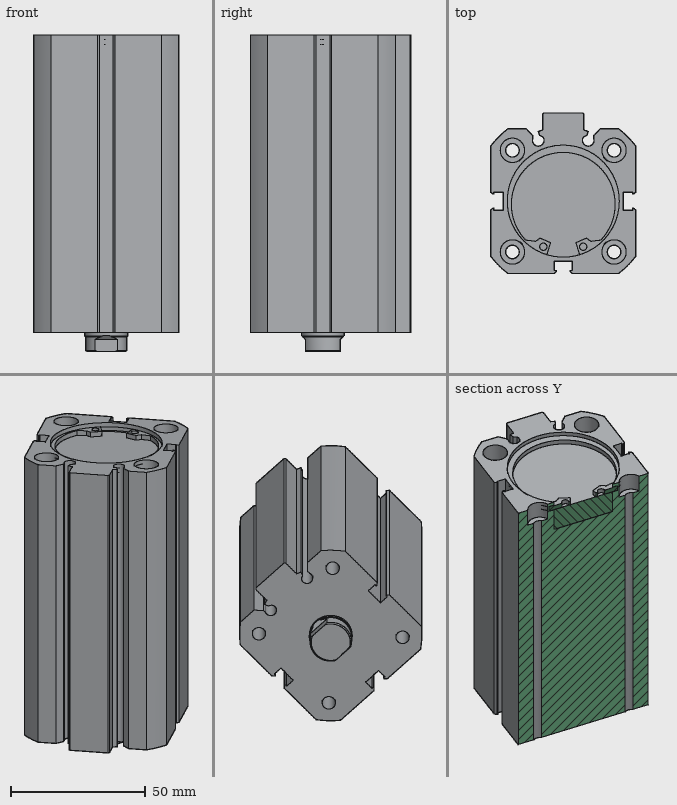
import cadquery as cq
import math


body_width = 54.0
body_height = 110.9
corner_radius = 34.0
rail_width = 15.3
rail_top = 32.9
rail_edge_chamfer = 0.5
half_width = body_width / 2

slot_width = 6.6
slot_depth = 4.6
slot_mouth_width = 6.6
slot_lip_gap = 5.2
slot_lip_chamfer_depth = 0.8
slot_lip_depth = 1.2

groove_x = 9.3
groove_y = 22.7
groove_radius = 2.1
groove_inner_angle = math.radians(35)
groove_outer_x = 13.8
groove_flank = (11.3, 24.4)
groove_lip_low = (8.8, 24.5)
groove_lip_tip = (9.3, 26.0)
groove_lip_top = 26.5

mount_pitch = 37.9
mount_hole_diameter = 5.0
counterbore_diameter = 9.1
counterbore_depth = 7.1

bore_radius = 20.9
ring_radius = 22.1
ring_depth = 1.7
ring_thickness = 1.9
ring_inner_radius = 19.4
ring_inner_offset = 1.2
ring_end_angle = math.radians(17)
lug_inner_radius = 16.2
lug_peak = (8.6, -13.8)
lug_flank = (10.4, -15.0)
lug_start_x = 14.0
lug_hole = (7.4, -17.0)
lug_hole_diameter = 2.7
cover_thickness = 9.4

ring_top = body_height - ring_depth
cover_top = ring_top - ring_thickness
cover_bottom = cover_top - cover_thickness

rod_diameter = 16.0
rod_end_diameter = 15.5
rod_tip = -7.1
rod_step = -1.3
rod_tip_chamfer = 0.5
flat_width = 13.0
flat_top = -2.6


def mirrored(point, side):
    """Copy of an outline point on the +X side (1) or the -X side (-1)."""
    return (side * point[0], point[1])


def slot(angle):
    """Cutter for the lipped slot in the -Y face, turned about Z by angle in degrees."""
    half_outline = [
        (slot_mouth_width / 2, -half_width),
        (slot_lip_gap / 2, -half_width + slot_lip_chamfer_depth),
        (slot_lip_gap / 2, -half_width + slot_lip_depth),
        (slot_width / 2, -half_width + slot_lip_depth),
        (slot_width / 2, -half_width + slot_depth),
    ]
    outline = half_outline + [(-x, y) for x, y in reversed(half_outline)]
    cutter = cq.Workplane("XY").polyline(outline).close().extrude(body_height)
    return cutter.rotate((0, 0, 0), (0, 0, 1), angle)


def sensor_groove(side):
    """Cutter for the round-bottomed groove beside the rail on one side."""
    outer_y = groove_y + math.sqrt(groove_radius**2 - (groove_flank[0] - groove_x) ** 2)
    inner_x = groove_x - groove_radius * math.cos(groove_inner_angle)
    inner_y = groove_y + groove_radius * math.sin(groove_inner_angle)
    return (
        cq.Workplane("XY")
        .moveTo(*mirrored((groove_outer_x, half_width), side))
        .lineTo(*mirrored(groove_flank, side))
        .lineTo(*mirrored((groove_flank[0], outer_y), side))
        .threePointArc(
            mirrored((groove_x, groove_y - groove_radius), side),
            mirrored((inner_x, inner_y), side),
        )
        .lineTo(*mirrored(groove_lip_low, side))
        .lineTo(*mirrored(groove_lip_tip, side))
        .lineTo(*mirrored((rail_width / 2, groove_lip_top), side))
        .lineTo(*mirrored((rail_width / 2, half_width), side))
        .close()
        .extrude(body_height)
    )


def make_housing():
    """Profiled body with rail, slots, mounting holes, cover recess and rod hole."""
    corners = cq.Workplane("XY").circle(corner_radius).extrude(body_height)
    body = cq.Workplane("XY").rect(body_width, body_width).extrude(body_height).intersect(corners)
    rail = (
        cq.Workplane("XY")
        .center(0, rail_top / 2)
        .rect(rail_width, rail_top)
        .extrude(body_height)
        .edges("|Z and >Y")
        .chamfer(rail_edge_chamfer)
    )
    body = body.union(rail)

    for angle in (-90, 0, 90):
        body = body.cut(slot(angle))
    for side in (-1, 1):
        body = body.cut(sensor_groove(side))

    body = (
        body.faces(">Z")
        .workplane(origin=(0, 0, body_height))
        .rect(mount_pitch, mount_pitch, forConstruction=True)
        .vertices()
        .cboreHole(mount_hole_diameter, counterbore_diameter, counterbore_depth)
    )

    recess = cq.Workplane("XY", origin=(0, 0, cover_bottom)).circle(bore_radius)
    ring_groove = cq.Workplane("XY", origin=(0, 0, cover_top)).circle(ring_radius)
    rod_hole = cq.Workplane("XY").circle(rod_diameter / 2)
    return (
        body.cut(recess.extrude(body_height - cover_bottom))
        .cut(ring_groove.extrude(ring_thickness))
        .cut(rod_hole.extrude(cover_bottom))
    )


def make_cover():
    """Disc that closes the upper end, held by the retaining ring."""
    return cq.Workplane("XY", origin=(0, 0, cover_bottom)).circle(bore_radius).extrude(cover_thickness)


def make_retaining_ring():
    """Open ring, thinner towards two lugs with plier holes at its free ends."""
    end_x = math.sin(ring_end_angle)
    end_y = -math.cos(ring_end_angle)
    rim_end = (ring_radius * end_x, ring_radius * end_y)
    lug_corner = (lug_inner_radius * end_x, lug_inner_radius * end_y)
    lug_start_y = -ring_inner_offset - math.sqrt(ring_inner_radius**2 - lug_start_x**2)
    lug_start = (lug_start_x, lug_start_y)
    return (
        cq.Workplane("XY", origin=(0, 0, cover_top))
        .moveTo(*rim_end)
        .threePointArc((0, ring_radius), mirrored(rim_end, -1))
        .lineTo(*mirrored(lug_corner, -1))
        .lineTo(*mirrored(lug_peak, -1))
        .lineTo(*mirrored(lug_flank, -1))
        .lineTo(*mirrored(lug_start, -1))
        .threePointArc((0, ring_inner_radius - ring_inner_offset), lug_start)
        .lineTo(*lug_flank)
        .lineTo(*lug_peak)
        .lineTo(*lug_corner)
        .close()
        .pushPoints([lug_hole, mirrored(lug_hole, -1)])
        .circle(lug_hole_diameter / 2)
        .extrude(ring_thickness)
    )


def make_piston_rod():
    """Rod with a reduced end and two wrench flats that run out at 45 degrees."""
    step_height = (rod_diameter - rod_end_diameter) / 2
    rod = (
        cq.Workplane("XZ")
        .moveTo(0, rod_tip)
        .lineTo(rod_end_diameter / 2 - rod_tip_chamfer, rod_tip)
        .lineTo(rod_end_diameter / 2, rod_tip + rod_tip_chamfer)
        .lineTo(rod_end_diameter / 2, rod_step - step_height)
        .lineTo(rod_diameter / 2, rod_step)
        .lineTo(rod_diameter / 2, cover_bottom)
        .lineTo(0, cover_bottom)
        .close()
        .revolve(360, (0, 0, 0), (0, 1, 0))
    )
    runout = rod_diameter - flat_width
    for side in (-1, 1):
        flat = (
            cq.Workplane("YZ", origin=(-rod_diameter / 2, 0, 0))
            .moveTo(side * flat_width / 2, rod_tip)
            .lineTo(side * flat_width / 2, flat_top)
            .lineTo(side * (flat_width / 2 + runout), flat_top + runout)
            .lineTo(side * (flat_width / 2 + runout), rod_tip)
            .close()
            .extrude(rod_diameter)
        )
        rod = rod.cut(flat)
    return rod


housing = make_housing()
cover = make_cover()
retaining_ring = make_retaining_ring()
piston_rod = make_piston_rod()

result = cq.Compound.makeCompound(
    [housing.val(), cover.val(), retaining_ring.val(), piston_rod.val()]
)